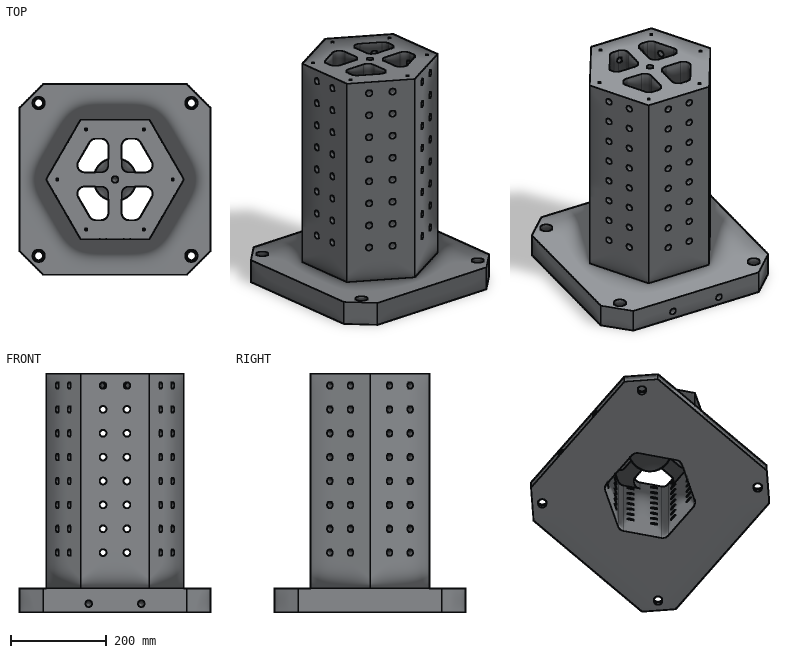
import cadquery as cq
import math

BASE_SIZE = 400.0
BASE_HEIGHT = 50.0
BASE_CORNER_CUT = 50.0
MOUNT_OFFSET = 160.0
MOUNT_DIAMETER = 18.0
MOUNT_BORE_DIAMETER = 26.0
MOUNT_BORE_DEPTH = 30.0
SIDE_HOLE_SPACING = 110.0
SIDE_HOLE_HEIGHT = 18.0
SIDE_HOLE_DIAMETER = 14.0
SIDE_HOLE_DEPTH = 30.0

TOTAL_HEIGHT = 500.0
COLUMN_FLATS = 250.0
WALL = 40.0
SIDES = 6
CAVITY_FLATS = COLUMN_FLATS - 2 * WALL
CORNER_RADIUS = 15.0

WEB_X_THICKNESS = 30.0
WEB_Y_THICKNESS = 28.0
WEB_HEIGHT = 60.0
BOSS_DIAMETER = 90.0
BOSS_HEIGHT = 5.0
CENTRE_HOLE_DIAMETER = 14.0
CENTRE_HOLE_DEPTH = 40.0

ROWS = 8
ROW_PITCH = 50.0
TOP_ROW_DEPTH = 25.0
COLUMN_PITCH = 50.0
FACE_HOLE_DIAMETER = 13.84
TOP_HOLE_DIAMETER = 5.0
TOP_HOLE_CIRCLE_RADIUS = 121.0
TOP_HOLE_DEPTH = 15.0

DRILL_HALF_ANGLE = math.radians(59)


def hexagon_corners(flats):
    """Corners of a hexagon about Z with two corners on the X axis."""
    radius = flats / 2 / math.cos(math.pi / SIDES)
    angles = [2 * math.pi * i / SIDES for i in range(SIDES)]
    return [(radius * math.cos(a), radius * math.sin(a)) for a in angles]


def drilled_hole(diameter, depth, start, direction):
    """Blind hole tool with a conical drill tip beyond the full-diameter depth."""
    radius = diameter / 2
    origin = cq.Vector(*start)
    axis = cq.Vector(*direction)
    tip_length = radius / math.tan(DRILL_HALF_ANGLE)
    bore = cq.Solid.makeCylinder(radius, depth, origin, axis)
    tip = cq.Solid.makeCone(radius, 0, tip_length, origin + axis * depth, axis)
    return cq.Workplane(bore).union(cq.Workplane(tip))


def make_base():
    base = cq.Workplane().rect(BASE_SIZE, BASE_SIZE).extrude(BASE_HEIGHT)
    base = base.edges("|Z").chamfer(BASE_CORNER_CUT)
    base = (
        base.faces(">Z").workplane()
        .rect(2 * MOUNT_OFFSET, 2 * MOUNT_OFFSET, forConstruction=True)
        .vertices()
        .cboreHole(MOUNT_DIAMETER, MOUNT_BORE_DIAMETER, MOUNT_BORE_DEPTH)
    )
    for side in (-1, 1):
        start = (side * SIDE_HOLE_SPACING / 2, -BASE_SIZE / 2, SIDE_HOLE_HEIGHT)
        base = base.cut(drilled_hole(SIDE_HOLE_DIAMETER, SIDE_HOLE_DEPTH, start, (0, 1, 0)))
    return base


def make_column():
    column = cq.Workplane().polyline(hexagon_corners(COLUMN_FLATS)).close()
    return column.extrude(TOTAL_HEIGHT)


def make_cavity():
    """Hexagonal hollow, open at the bottom, reaching up to the cross web."""
    cavity = cq.Workplane().polyline(hexagon_corners(CAVITY_FLATS)).close()
    cavity = cavity.extrude(TOTAL_HEIGHT - WEB_HEIGHT).edges("|Z").fillet(CORNER_RADIUS)
    boss = (
        cq.Workplane().workplane(offset=TOTAL_HEIGHT - WEB_HEIGHT)
        .circle(BOSS_DIAMETER / 2).extrude(-BOSS_HEIGHT)
    )
    return cavity.cut(boss)


def make_pockets():
    """Four rounded openings between the arms of the cross web."""
    half_flats = CAVITY_FLATS / 2
    hexagon_radius = half_flats / math.cos(math.pi / SIDES)
    inner_x = WEB_Y_THICKNESS / 2
    inner_y = WEB_X_THICKNESS / 2
    outline = [
        (inner_x, inner_y),
        (hexagon_radius - inner_y * math.tan(math.pi / SIDES), inner_y),
        (hexagon_radius / 2, half_flats),
        (inner_x, half_flats),
    ]
    pocket = (
        cq.Workplane().workplane(offset=TOTAL_HEIGHT - WEB_HEIGHT)
        .polyline(outline).close().extrude(WEB_HEIGHT)
        .edges("|Z").fillet(CORNER_RADIUS)
    )
    pair = pocket.union(pocket.mirror("YZ"))
    return pair.union(pair.mirror("XZ"))


def make_face_holes():
    """Two columns of drilled holes in each of the six faces, one wall thickness deep plus the tip."""
    holes = []
    for row in range(ROWS):
        height = TOTAL_HEIGHT - TOP_ROW_DEPTH - row * ROW_PITCH
        for side in (-1, 1):
            start = (side * COLUMN_PITCH / 2, -COLUMN_FLATS / 2, height)
            hole = drilled_hole(FACE_HOLE_DIAMETER, WALL, start, (0, 1, 0)).val()
            for face in range(SIDES):
                turn = face * 360 / SIDES
                holes.append(hole.rotate(cq.Vector(0, 0, 0), cq.Vector(0, 0, 1), turn))
    return cq.Workplane(cq.Compound.makeCompound(holes))


def cut_top_holes(body):
    down = (0, 0, -1)
    body = body.cut(drilled_hole(CENTRE_HOLE_DIAMETER, CENTRE_HOLE_DEPTH, (0, 0, TOTAL_HEIGHT), down))
    for i in range(SIDES):
        angle = 2 * math.pi * i / SIDES
        x = TOP_HOLE_CIRCLE_RADIUS * math.cos(angle)
        y = TOP_HOLE_CIRCLE_RADIUS * math.sin(angle)
        body = body.cut(drilled_hole(TOP_HOLE_DIAMETER, TOP_HOLE_DEPTH, (x, y, TOTAL_HEIGHT), down))
    return body


body = make_base().union(make_column())
body = body.cut(make_cavity()).cut(make_pockets()).cut(make_face_holes())
result = cut_top_holes(body)